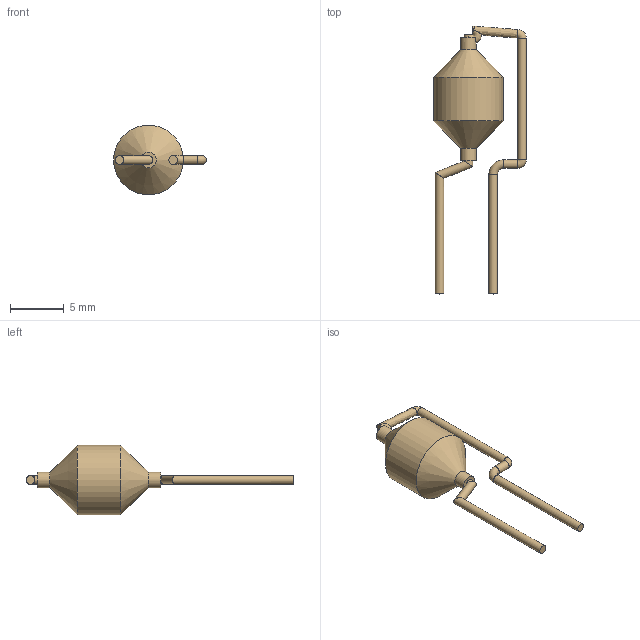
import cadquery as cq

barrel_radius = 3.25
barrel_length = 4.05
neck_radius = 0.73
neck_length = 1.15
capsule_half_length = 5.75
barrel_half_length = barrel_length / 2
cone_end = capsule_half_length - neck_length

wire_radius = 0.4
bend_clearance = 0.02
tight_bend_radius = wire_radius + bend_clearance
wide_bend_radius = 1.0
quarter_turn = 90
lead_spacing = 5.0
lead_end_y = -18.18

front_lead_x = -2.7
front_exit_y = -6.05
front_corner_y = -7.12

stub_end_y = 6.0
return_x = 5.0
return_top_y = 5.67
return_bottom_y = -5.64
rear_lead_x = front_lead_x + lead_spacing
jog_y = return_bottom_y - tight_bend_radius
jog_end_x = rear_lead_x + wide_bend_radius
rear_lead_start_y = jog_y - wide_bend_radius
tight_bend_center_x = return_x - tight_bend_radius
exit_bend_end = (tight_bend_radius, stub_end_y + tight_bend_radius)
return_bend_start = (tight_bend_center_x, return_top_y + tight_bend_radius)


def disc_across_x(point):
    """Circular wire section at a point, facing along X."""
    return cq.Wire.makeCircle(wire_radius, cq.Vector(*point, 0), cq.Vector(1, 0, 0))


def straight_along_y(x, y_start, y_end):
    """Straight wire piece parallel to Y."""
    axis = cq.Vector(0, 1, 0)
    return cq.Workplane(cq.Solid.makeCylinder(wire_radius, y_end - y_start, cq.Vector(x, y_start, 0), axis))


def piece_across_x(start, end):
    """Wire piece between two points whose end faces both face along X."""
    return cq.Workplane(cq.Solid.makeLoft([disc_across_x(start), disc_across_x(end)], True))


def bend(center, section_x, angle):
    """Wire bend about a line parallel to Z, from a section facing Y; positive turns run from +X to +Y."""
    center_x, center_y = center
    section_plane = cq.Plane(origin=(center_x, center_y, 0), xDir=(1, 0, 0), normal=(0, -1, 0))
    section = cq.Workplane(section_plane).center(section_x - center_x, 0).circle(wire_radius)
    axis_side = 1 if angle > 0 else -1
    return section.revolve(abs(angle), (center_x - section_x, 0), (center_x - section_x, axis_side))


def make_front_run():
    """Wire from the +Y stub through the capsule to the end of the front lead."""
    path = cq.Workplane("XY").polyline([
        (0, stub_end_y),
        (0, front_exit_y),
        (front_lead_x, front_corner_y),
        (front_lead_x, lead_end_y),
    ])
    section = cq.Workplane("XZ", origin=(0, stub_end_y, 0)).circle(wire_radius)
    return section.sweep(path, transition="right")


def make_wire():
    pieces = [
        bend((tight_bend_radius, stub_end_y), 0, 3 * quarter_turn),
        piece_across_x(exit_bend_end, return_bend_start),
        bend((tight_bend_center_x, return_top_y), return_x, quarter_turn),
        straight_along_y(return_x, return_bottom_y, return_top_y),
        bend((tight_bend_center_x, return_bottom_y), return_x, -quarter_turn),
        piece_across_x((jog_end_x, jog_y), (tight_bend_center_x, jog_y)),
        bend((jog_end_x, rear_lead_start_y), rear_lead_x, -quarter_turn),
        straight_along_y(rear_lead_x, lead_end_y, rear_lead_start_y),
    ]
    wire = make_front_run()
    for piece in pieces:
        wire = wire.union(piece)
    return wire


def make_capsule(wire):
    """Turned capsule with the passage that the wire fills."""
    profile = cq.Workplane("XY").polyline([
        (0, -capsule_half_length),
        (neck_radius, -capsule_half_length),
        (neck_radius, -cone_end),
        (barrel_radius, -barrel_half_length),
        (barrel_radius, barrel_half_length),
        (neck_radius, cone_end),
        (neck_radius, capsule_half_length),
        (0, capsule_half_length),
    ]).close()
    return profile.revolve(4 * quarter_turn, (0, 0), (0, 1)).cut(wire)


wire = make_wire()
capsule = make_capsule(wire)

result = cq.Compound.makeCompound([capsule.solids().val(), wire.solids().val()])